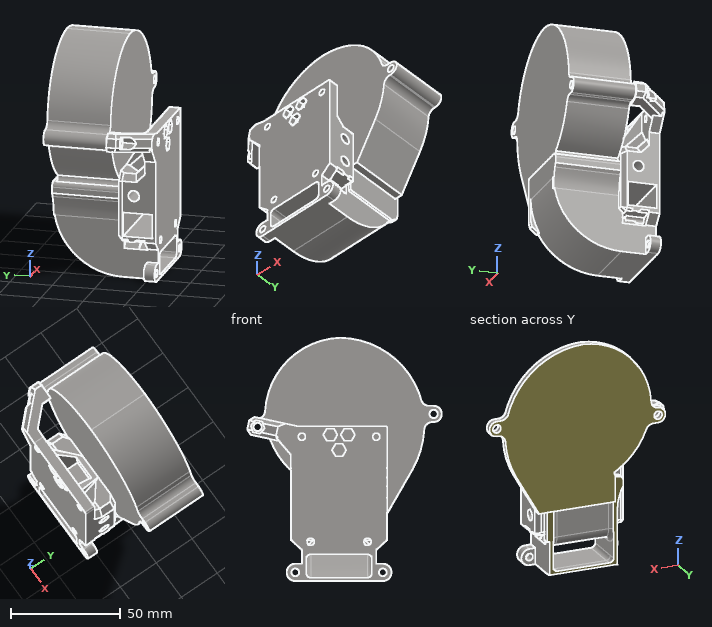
import cadquery as cq
import math


plate_thickness = 5.1
blower_front = 18.03
blower_depth = 30.0
blower_back = blower_front + blower_depth
mount_back = 49.61
wall = mount_back - blower_back

scroll_left = (-33.9, 77.5)
scroll_top = (0.5, 111.28)
scroll_right = (36.5, 86.2)
scroll_tail_start = (33.6, 51.0)
scroll_tail_end = (22.2, 31.2)
scroll_upper_left = (-24.4, 99.9)
scroll_upper_right = (22.5, 104.1)
scroll_lower_right = (38.95, 68.6)
scroll_lower_left = (-29.3, 59.8)
scroll_tongue = (-15.5, 45.75)
blower_outlet_left = -16.0
blower_lip_left = -17.8
blower_lip_middle = (-15.9, 44.4)
blower_ears = [(-37.2, 70.45, -30.0), (43.2, 76.4, 36.0)]
blower_ear_radius = 3.76
blower_ear_hole = 3.7
blower_ear_fillet = 3.6
ear_corner_reach = 3.0

plate_half_width = 22.0
plate_top = 70.85
plate_corner_radius = 0.8
neck_half_width = 17.0
neck_top = 14.2
plate_shoulder = 18.8
flange_half_pitch = 20.0
flange_radius = 4.0
flange_hole = 3.4
plate_hole = 3.3
upper_hole_x, upper_hole_z = 17.0, 66.0
lower_hole_x, lower_hole_z = 13.0, 18.0
lower_hole_depth = 13.5
hex_pockets = [(-4.0, 66.9), (4.0, 66.9), (0.0, 59.9)]
hex_across_corners = 6.5
hex_depth = 3.0

arm_tilt = 12.2
arm_half_height = 4.2
arm_chamfer = 2.1
arm_end = -4.47
arm_inner = 4.9
arm_bend_y = 13.5
arm_root = 24.0
arm_web_bottom = 57.7
arm_web_corner = (-28.8, 65.6)
nut_depth_y = 12.1

box_top = 50.5
box_bottom = 18.6
box_corner = 3.1
box_bottom_corner = 1.1
box_rear_chamfer = 2.2
brace_height = 4.9
brace_side_height = 4.0
brace_run = 8.0
rod_hole = 5.1
rod_y = 10.3
rod_heights = [26.85, 40.7]
pocket_y = (1.5, 15.3)
pocket_z = (21.1, 32.5)
pocket_end_wall = 3.0

gusset_front_half, gusset_back_half = 11.8, 6.2
fairing_half = 17.0
fairing_bend_half = 15.0
fairing_back_y = 16.8
notch_back_y = 14.3
notch_rim_half = 8.6
notch_floor_half = 4.9

duct_radius = 32.6
duct_bend_y = mount_back - duct_radius
socket_top = 43.4
socket_left = -19.9
socket_right = 18.2
socket_round = 2.1
lip_bottom = 38.3
relief_top = (-19.0, 36.6)
relief_middle = (-17.5, 31.95)
relief_bottom = 27.1
side_block = [(mount_back, 21.9), (49.0, 19.4), (45.8, 16.7)]
side_block_front = (blower_front, 16.7)
nozzle_half_width = 15.0
nozzle_top = 12.25
nozzle_corner = 2.1
duct_inner_radius = 6.0
duct_inner_y = blower_front + 1.9
recess_back_y = 16.2
recess_bottom = 13.8
recess_inner_x = 11.9
nut_slot_bottom = 15.8
nut_slot_back_y = 9.2


def front_prism(points, y_start, y_end):
    """Closed (X, Z) polygon extruded along Y."""
    outline = cq.Workplane("XZ", origin=(0, y_start, 0)).polyline(points).close()
    return outline.extrude(y_start - y_end)


def side_prism(points, x_start, x_end):
    """Closed (Y, Z) polygon extruded along X."""
    return cq.Workplane("YZ", origin=(x_start, 0, 0)).polyline(points).close().extrude(x_end - x_start)


def front_cylinders(centres, diameter, y_start, y_end):
    """Cylinders along Y, one at each (X, Z) centre."""
    plane = cq.Workplane("XZ", origin=(0, y_start, 0)).pushPoints(centres)
    return plane.circle(diameter / 2).extrude(y_start - y_end)


def mirrored(points):
    """Points on the +X side followed by their mirror images, giving a symmetric closed outline."""
    return points + [(-x, z) for x, z in reversed(points)]


def make_blower():
    body = (
        cq.Workplane("XZ", origin=(0, blower_front, 0))
        .moveTo(*scroll_left)
        .threePointArc(scroll_upper_left, scroll_top)
        .threePointArc(scroll_upper_right, scroll_right)
        .threePointArc(scroll_lower_right, scroll_tail_start)
        .lineTo(*scroll_tail_end)
        .lineTo(blower_outlet_left, scroll_tail_end[1])
        .lineTo(blower_outlet_left, socket_top)
        .lineTo(blower_lip_left, socket_top)
        .threePointArc(blower_lip_middle, scroll_tongue)
        .threePointArc(scroll_lower_left, scroll_left)
        .close()
        .extrude(-blower_depth)
    )
    for x, z, root_x in blower_ears:
        web = (
            cq.Workplane("XZ", origin=((x + root_x) / 2, blower_front, z))
            .rect(abs(x - root_x), 2 * blower_ear_radius)
            .extrude(-blower_depth)
        )
        boss = front_cylinders([(x, z)], 2 * blower_ear_radius, blower_front, blower_back)
        body = body.union(web).union(boss)

        inner_x = x + math.copysign(blower_ear_radius, root_x - x)
        corner_zone = cq.selectors.BoxSelector(
            (inner_x - ear_corner_reach, blower_front, z - 2 * blower_ear_radius),
            (inner_x + ear_corner_reach, blower_back, z + 2 * blower_ear_radius),
        )
        body = body.edges("|Y").edges(corner_zone).fillet(blower_ear_fillet)
    centres = [(x, z) for x, z, _ in blower_ears]
    return body.cut(front_cylinders(centres, blower_ear_hole, blower_front, blower_back))


def make_plate():
    outline = mirrored([
        (neck_half_width, 0),
        (neck_half_width, neck_top),
        (plate_half_width, plate_shoulder),
        (plate_half_width, plate_top),
    ])
    plate = front_prism(outline, 0, plate_thickness)
    plate = plate.edges("|Y and >X and >Z").fillet(plate_corner_radius)
    flange = (
        cq.Workplane("XZ", origin=(0, 0, flange_radius))
        .slot2D(2 * (flange_half_pitch + flange_radius), 2 * flange_radius)
        .extrude(-plate_thickness)
    )
    return plate.union(flange)


def make_arm():
    x, z, _ = blower_ears[0]
    bend_x = arm_end + arm_bend_y
    profile = [
        (arm_end, blower_front),
        (arm_inner, blower_front),
        (arm_inner, arm_bend_y),
        (arm_inner + arm_bend_y - plate_thickness, plate_thickness),
        (arm_root, plate_thickness),
        (arm_root, 0),
        (bend_x, 0),
        (arm_end, arm_bend_y),
    ]
    arm = cq.Workplane("XY").polyline(profile).close().extrude(arm_half_height, both=True)
    end_middle = (arm_end, (arm_bend_y + blower_front) / 2)
    slope_middle = ((arm_end + bend_x) / 2, arm_bend_y / 2)
    corners = None
    for side in (-arm_half_height, arm_half_height):
        for middle_x, middle_y in (end_middle, slope_middle):
            picked = arm.edges(cq.selectors.NearestToPointSelector((middle_x, middle_y, side)))
            corners = picked if corners is None else corners.add(picked)
    arm = corners.chamfer(arm_chamfer)
    nut = cq.Workplane("XZ").polygon(6, hex_across_corners).extrude(-nut_depth_y)
    hole = front_cylinders([(0, 0)], blower_ear_hole, 0, blower_front)
    arm = arm.cut(nut).cut(hole)
    return arm.rotate((0, 0, 0), (0, 1, 0), arm_tilt).translate((x, 0, z))


def make_arm_web():
    """Slanted corner between the arm's lower side and the plate."""
    outline = [(-plate_half_width, arm_web_bottom), arm_web_corner, (-plate_half_width, upper_hole_z)]
    return front_prism(outline, 0, plate_thickness)


def make_box():
    outline = mirrored([
        (plate_half_width - box_bottom_corner, box_bottom),
        (plate_half_width, box_bottom + box_bottom_corner),
        (plate_half_width, box_top - box_corner),
        (plate_half_width - box_corner, box_top),
    ])
    box = front_prism(outline, 0, blower_front)
    box = box.faces(">Y").edges("not |X").chamfer(box_rear_chamfer)
    lower_rear_corner = [
        (blower_front - box_rear_chamfer, box_bottom),
        (blower_front, box_bottom),
        (blower_front, box_bottom + box_rear_chamfer),
    ]
    box = box.cut(side_prism(lower_rear_corner, -plate_half_width, plate_half_width))

    brace_top = mirrored([
        (plate_half_width, box_bottom + brace_height),
        (plate_half_width, box_top - box_corner + brace_side_height),
        (plate_half_width - box_corner, box_top + brace_height),
    ])
    shift = cq.Vector(0, brace_run, -brace_run)
    front_wire = cq.Wire.makePolygon([cq.Vector(x, plate_thickness, z) for x, z in brace_top], close=True)
    brace = cq.Solid.makeLoft([front_wire, front_wire.translate(shift)], True)
    return box.union(cq.Workplane(brace))


def make_gusset():
    ramp = [(plate_thickness, box_top), (plate_thickness, plate_top), (blower_front, box_top)]
    plan = [
        (gusset_front_half, plate_thickness),
        (gusset_back_half, blower_front),
        (-gusset_back_half, blower_front),
        (-gusset_front_half, plate_thickness),
    ]
    column = cq.Workplane("XY", origin=(0, 0, box_top)).polyline(plan).close().extrude(plate_top - box_top)
    fairing = side_prism(ramp, -fairing_half, fairing_half)
    gusset = column.intersect(fairing)

    for side in (-1, 1):
        low_front = cq.Vector(side * fairing_half, plate_thickness, box_top + brace_height)
        low_bend = cq.Vector(side * fairing_bend_half, plate_thickness + brace_height, box_top)
        low_back = cq.Vector(side * gusset_back_half, fairing_back_y, box_top)
        along_box = low_back - low_bend
        outward = (low_bend - low_front).cross(along_box) * side
        flank = cq.Plane(origin=low_back.toTuple(), xDir=along_box.toTuple(), normal=outward.toTuple())
        fairing = fairing.cut(cq.Workplane(flank).rect(4 * plate_top, 4 * plate_top).extrude(plate_top))
    return gusset.union(fairing)


def make_notch():
    """Notch in the gusset that widens toward the top."""
    outline = mirrored([(notch_floor_half, box_top), (notch_rim_half, plate_top)])
    return front_prism(outline, plate_thickness, notch_back_y)


def make_duct():
    duct = (
        cq.Workplane("YZ", origin=(-neck_half_width, 0, 0))
        .lineTo(duct_bend_y, 0)
        .radiusArc((mount_back, duct_radius), -duct_radius)
        .lineTo(mount_back, socket_top)
        .lineTo(0, socket_top)
        .close()
        .extrude(2 * neck_half_width)
    )
    lip = (
        cq.Workplane("XZ", origin=(0, blower_front, 0))
        .moveTo(blower_outlet_left, socket_top)
        .lineTo(socket_left + socket_round, socket_top)
        .radiusArc((socket_left, socket_top - socket_round), -socket_round)
        .lineTo(socket_left, lip_bottom)
        .lineTo(*relief_top)
        .threePointArc(relief_middle, (-neck_half_width, relief_bottom))
        .lineTo(blower_outlet_left, relief_bottom)
        .close()
        .extrude(blower_front - mount_back)
    )
    block = side_prism(
        [(blower_front, socket_top), (mount_back, socket_top)] + side_block + [side_block_front],
        nozzle_half_width,
        socket_right,
    )
    return duct.union(lip).union(block)


def make_passage():
    outer_radius = duct_radius - wall
    roof_bend_y = duct_inner_y - duct_inner_radius
    passage = (
        cq.Workplane("YZ", origin=(-nozzle_half_width, 0, 0))
        .moveTo(-nozzle_corner, wall)
        .lineTo(duct_bend_y, wall)
        .radiusArc((blower_back, duct_radius), -outer_radius)
        .lineTo(duct_inner_y, duct_radius)
        .lineTo(duct_inner_y, nozzle_top + duct_inner_radius)
        .radiusArc((roof_bend_y, nozzle_top), duct_inner_radius)
        .lineTo(-nozzle_corner, nozzle_top)
        .close()
        .extrude(2 * nozzle_half_width)
    )
    return passage.faces("<X or >X").edges("not(<Y or >Z)").fillet(nozzle_corner)


def make_recess(side):
    """Undercut beside the neck that gives access to a lower screw, with a deeper slot for its nut."""
    outer_x = side * plate_half_width
    neck_x = side * neck_half_width
    inner_x = side * recess_inner_x
    mouth = [(inner_x, box_bottom), (outer_x, box_bottom), (outer_x, recess_bottom), (neck_x, recess_bottom)]
    slope = front_prism(mouth, plate_thickness, recess_back_y)
    slot = front_prism(mouth + [(inner_x, nut_slot_bottom)], plate_thickness, nut_slot_back_y)
    return slope.union(slot)


def make_mount(blower):
    mount = make_plate().union(make_arm_web()).union(make_arm()).union(make_box())
    mount = mount.union(make_gusset()).union(make_duct())
    mount = mount.cut(make_passage()).cut(make_notch()).cut(blower)
    for side in (-1, 1):
        mount = mount.cut(make_recess(side))

    pocket_low, pocket_high = pocket_z
    pocket_front, pocket_back = pocket_y
    pocket = cq.Workplane("XY").box(
        2 * plate_half_width - pocket_end_wall, pocket_back - pocket_front, pocket_high - pocket_low,
        centered=False,
    )
    mount = mount.cut(pocket.translate((-plate_half_width, pocket_front, pocket_low)))

    rods = (
        cq.Workplane("YZ", origin=(-plate_half_width, 0, 0))
        .pushPoints([(rod_y, z) for z in rod_heights])
        .circle(rod_hole / 2)
        .extrude(2 * plate_half_width)
    )
    flange_centres = [(side * flange_half_pitch, flange_radius) for side in (-1, 1)]
    upper_centres = [(side * upper_hole_x, upper_hole_z) for side in (-1, 1)]
    lower_centres = [(side * lower_hole_x, lower_hole_z) for side in (-1, 1)]
    hexes = cq.Workplane("XZ").pushPoints(hex_pockets).polygon(6, hex_across_corners).extrude(-hex_depth)
    return (
        mount.cut(rods)
        .cut(hexes)
        .cut(front_cylinders(flange_centres, flange_hole, 0, plate_thickness))
        .cut(front_cylinders(upper_centres, plate_hole, 0, plate_thickness))
        .cut(front_cylinders(lower_centres, plate_hole, 0, lower_hole_depth))
    )


blower = make_blower()
mount = make_mount(blower)

result = cq.Compound.makeCompound([*blower.solids().vals(), *mount.solids().vals()])